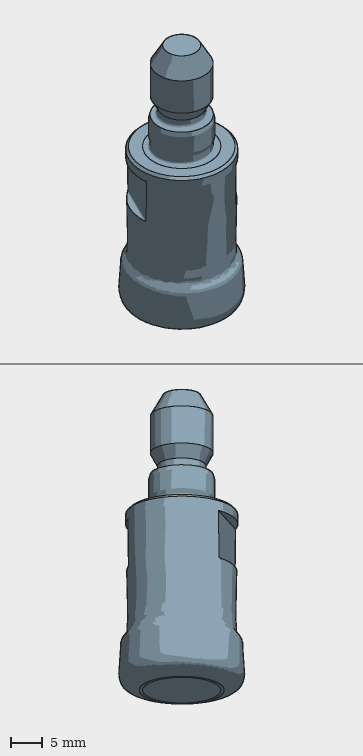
import cadquery as cq

total_height = 49.4
sleeve_height = 29.9

tip_radius = 3.0
nose_radius = 10.0 / 2
neck_radius = 7.7 / 2
collar_radius = 10.5 / 2
base_radius = 10.1 / 2
shank_radius = 12.4 / 2
nose_chamfer_height = 3.45
nose_top = total_height - nose_chamfer_height
nose_bottom = 39.75
neck_top = 37.6
neck_lead_height = 0.3
neck_lead_width = 0.15
collar_top = 36.05
neck_fillet = 0.6
collar_chamfer_height = 0.85
collar_chamfer_width = 0.25
collar_bottom = 32.0
collar_relief_height = 0.75
base_fillet = 0.45
dish_depth = 0.1

flange_radius = 17.8 / 2
flange_chamfer = 0.45
flange_bottom = 27.9
waist_radius = 8.6
grip_bottom = 12.05
band_radius = 8.7
band_step_height = 0.3
band_edge_height = 0.55
band_top = grip_bottom - band_step_height
band_bottom = 9.8
band_crest = band_bottom + band_edge_height
sole_radius = 6.7
foot_curve = [
    (8.15, 0.5),
    (9.45, 1.15),
    (9.95, 2.25),
    (9.9, 4.95),
    (9.75, 7.4),
    (9.5, 8.35),
    (8.9, 9.05),
]

wrench_width = 14.95
flat_distance = wrench_width / 2
flat_gap = 0.1
flat_top = flange_bottom - flat_gap
flat_bottom = 19.95
flat_fillet = 0.3
cut_margin = 0.5
flat_cut_width = 2 * flange_radius
flat_cut_outer = flange_radius + cut_margin

DIAGONAL = 0.5 ** 0.5


def revolve(profile):
    """Turn a radius-height profile one full turn about Z."""
    return profile.close().revolve(360, (0, 0, 0), (0, 1, 0))


def make_stud():
    dish_bottom = sleeve_height - dish_depth
    neck_arc_middle = (
        neck_radius + neck_fillet * (1 - DIAGONAL),
        collar_top + neck_fillet * (1 - DIAGONAL),
    )
    base_arc_middle = (
        base_radius + base_fillet * (1 - DIAGONAL),
        dish_bottom + base_fillet * (1 - DIAGONAL),
    )
    profile = (
        cq.Workplane("XZ")
        .lineTo(shank_radius, 0)
        .lineTo(shank_radius, sleeve_height)
        .lineTo(base_radius + base_fillet, dish_bottom)
        .threePointArc(base_arc_middle, (base_radius, dish_bottom + base_fillet))
        .lineTo(base_radius, collar_bottom - collar_relief_height)
        .lineTo(collar_radius, collar_bottom)
        .lineTo(collar_radius, collar_top - collar_chamfer_height)
        .lineTo(collar_radius - collar_chamfer_width, collar_top)
        .lineTo(neck_radius + neck_fillet, collar_top)
        .threePointArc(neck_arc_middle, (neck_radius, collar_top + neck_fillet))
        .lineTo(neck_radius, neck_top)
        .lineTo(neck_radius + neck_lead_width, neck_top + neck_lead_height)
        .lineTo(nose_radius, nose_bottom)
        .lineTo(nose_radius, nose_top)
        .lineTo(tip_radius, total_height)
        .lineTo(0, total_height)
    )
    return revolve(profile)


def make_sleeve_blank():
    profile = (
        cq.Workplane("XZ")
        .moveTo(shank_radius, 0)
        .lineTo(sole_radius, 0)
        .spline([*foot_curve, (band_radius, band_bottom)], includeCurrent=True)
        .lineTo(band_radius, band_crest)
        .lineTo(waist_radius, band_top)
        .lineTo(waist_radius, grip_bottom)
        .lineTo(flange_radius, flange_bottom)
        .lineTo(flange_radius, sleeve_height - flange_chamfer)
        .lineTo(flange_radius - flange_chamfer, sleeve_height)
        .lineTo(shank_radius, sleeve_height)
    )
    return revolve(profile)


def make_flat_cutter(side):
    """Cutter for one wrench flat, rounded where the flat meets its floor."""
    fillet_middle = (
        side * (flat_distance + flat_fillet * (1 - DIAGONAL)),
        flat_bottom + flat_fillet * (1 - DIAGONAL),
    )
    return (
        cq.Workplane("YZ")
        .moveTo(side * flat_distance, flat_top)
        .lineTo(side * flat_cut_outer, flat_top)
        .lineTo(side * flat_cut_outer, flat_bottom)
        .lineTo(side * (flat_distance + flat_fillet), flat_bottom)
        .threePointArc(fillet_middle, (side * flat_distance, flat_bottom + flat_fillet))
        .close()
        .extrude(flat_cut_width / 2, both=True)
    )


def make_sleeve():
    sleeve = make_sleeve_blank()
    for side in (-1, 1):
        sleeve = sleeve.cut(make_flat_cutter(side))
    return sleeve


stud = make_stud()
sleeve = make_sleeve()
result = cq.Compound.makeCompound([stud.val(), sleeve.val()])